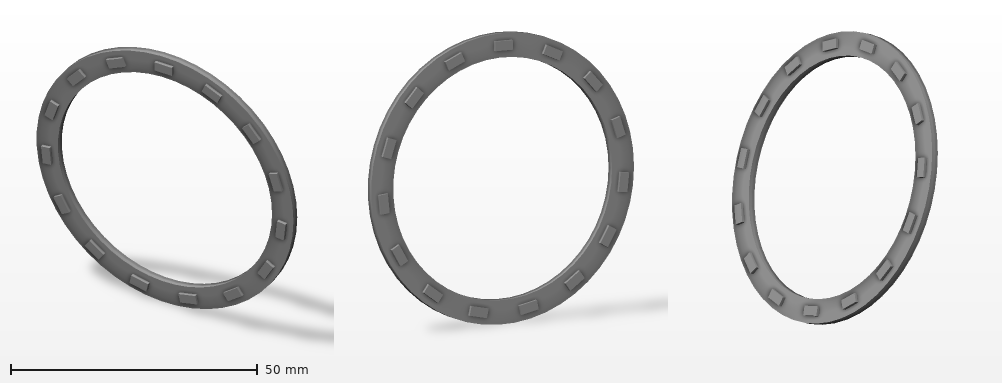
import cadquery as cq

outer_diameter = 60.0
inner_diameter = 50.0
ring_thickness = 1.55

block_count = 15
block_length = 4.0
block_width = 2.0
block_height = 0.7
block_circle_radius = (outer_diameter + inner_diameter) / 4


def make_ring():
    """Ring with its front face at Y = 0 and its body toward +Y."""
    return (
        cq.Workplane("XZ")
        .circle(outer_diameter / 2)
        .circle(inner_diameter / 2)
        .extrude(-ring_thickness)
    )


def make_blocks():
    """Blocks with their long sides tangent to the ring, the first one at the top."""
    return (
        cq.Workplane("XZ")
        .polarArray(block_circle_radius, 90, 360, block_count)
        .rect(block_width, block_length)
        .extrude(block_height)
    )


result = make_ring().union(make_blocks())